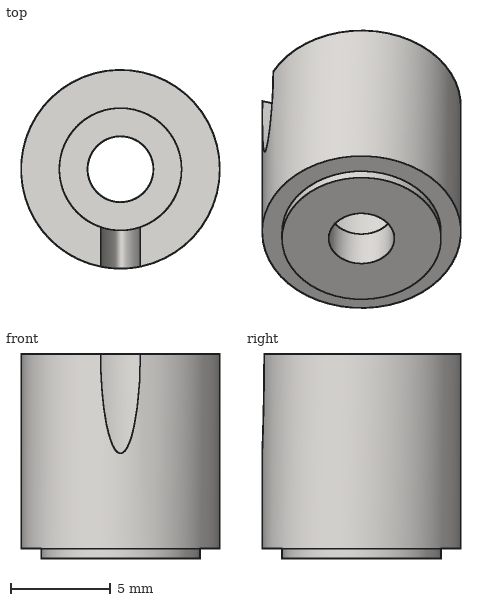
import cadquery as cq

body_diameter = 10.0
total_height = 10.3

spigot_diameter = 8.0
spigot_height = 0.5

socket_diameter = 6.15
socket_depth = 8.0
through_hole_diameter = 3.3

notch_width = 2.0
notch_depth = 5.0


def make_body():
    """Cylinder standing on a shorter, narrower spigot, with its base at Z = 0."""
    spigot = cq.Workplane("XY").circle(spigot_diameter / 2).extrude(spigot_height)
    sleeve = (
        cq.Workplane("XY")
        .workplane(offset=spigot_height)
        .circle(body_diameter / 2)
        .extrude(total_height - spigot_height)
    )
    return spigot.union(sleeve)


def cut_bore(part):
    """Cut the blind socket and the through hole on the body axis."""
    socket = (
        cq.Workplane("XY")
        .workplane(offset=total_height - socket_depth)
        .circle(socket_diameter / 2)
        .extrude(socket_depth)
    )
    through_hole = cq.Workplane("XY").circle(through_hole_diameter / 2).extrude(total_height)
    return part.cut(socket).cut(through_hole)


def cut_notch(part):
    """Cut the notch from the bore axis outward through the -Y wall."""
    notch = (
        cq.Workplane("XZ")
        .center(0, total_height)
        .ellipse(notch_width / 2, notch_depth)
        .extrude(body_diameter / 2)
    )
    return part.cut(notch)


result = cut_notch(cut_bore(make_body()))